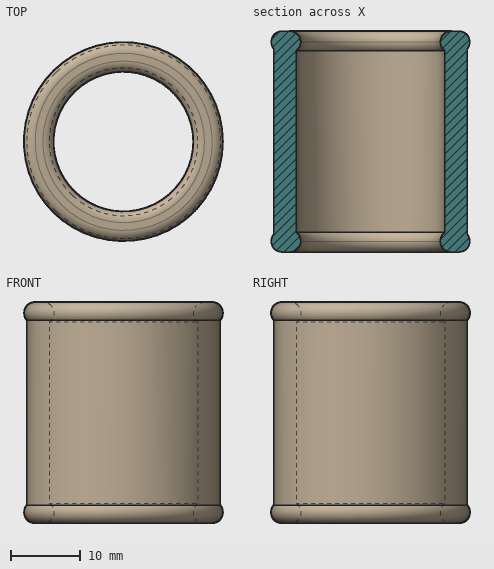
import cadquery as cq
import math

HEIGHT = 31.75
RIM_OUTER_RADIUS = 28.575 / 2
RIM_INNER_RADIUS = 10.0
BEAD_RADIUS = 1.5875
OUTER_RECESS = 0.381
INNER_RECESS = 0.635

OUTER_BEAD_CENTER = RIM_OUTER_RADIUS - BEAD_RADIUS
INNER_BEAD_CENTER = RIM_INNER_RADIUS + BEAD_RADIUS
CREST_HEIGHT = HEIGHT - BEAD_RADIUS
QUARTER_TURN = math.pi / 2


def end_angle(recess):
    """Angle along a bead from its crest to a wall set back by the recess."""
    return math.acos((BEAD_RADIUS - recess) / BEAD_RADIUS)


def outer_point(angle):
    """Point on the top outer bead, with the angle measured up from its crest."""
    return (
        OUTER_BEAD_CENTER + BEAD_RADIUS * math.cos(angle),
        CREST_HEIGHT + BEAD_RADIUS * math.sin(angle),
    )


def inner_point(angle):
    """Point on the top inner bead, with the angle measured up from its crest."""
    return (
        INNER_BEAD_CENTER - BEAD_RADIUS * math.cos(angle),
        CREST_HEIGHT + BEAD_RADIUS * math.sin(angle),
    )


def mirrored(point):
    """Matching point at the opposite end of the sleeve."""
    radius, z = point
    return (radius, HEIGHT - z)


def make_sleeve():
    """Revolve the wall section; each inner bead is two faces meeting at its crest."""
    outer_crest = outer_point(0)
    outer_end = outer_point(-end_angle(OUTER_RECESS))
    outer_flat = outer_point(QUARTER_TURN)
    inner_flat = inner_point(QUARTER_TURN)
    inner_rise = inner_point(QUARTER_TURN / 2)
    inner_crest = inner_point(0)
    inner_return = inner_point(-end_angle(INNER_RECESS) / 2)
    inner_end = inner_point(-end_angle(INNER_RECESS))
    section = (
        cq.Workplane("XZ")
        .moveTo(*mirrored(outer_end))
        .lineTo(*outer_end)
        .threePointArc(outer_crest, outer_flat)
        .lineTo(*inner_flat)
        .threePointArc(inner_rise, inner_crest)
        .threePointArc(inner_return, inner_end)
        .lineTo(*mirrored(inner_end))
        .threePointArc(mirrored(inner_return), mirrored(inner_crest))
        .threePointArc(mirrored(inner_rise), mirrored(inner_flat))
        .lineTo(*mirrored(outer_flat))
        .threePointArc(mirrored(outer_crest), mirrored(outer_end))
        .close()
    )
    return section.revolve(360, (0, 0, 0), (0, 1, 0), clean=False)


result = make_sleeve()